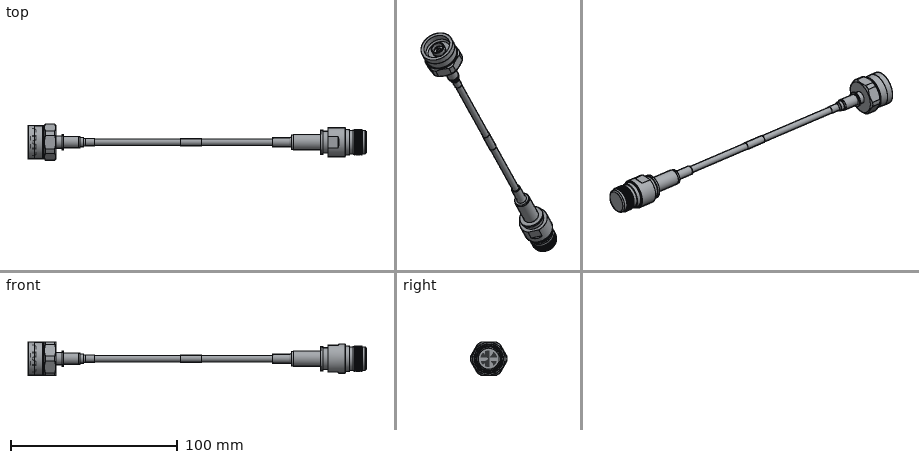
import cadquery as cq

OVERALL_LENGTH = 203.0

NUT_STEPS = [
    (20.0, 3.9),
    (19.9, 8.7),
    (19.3, 9.1),
    (19.9, 9.5),
]
NUT_END = 16.8

HEX_START = NUT_STEPS[-1][1]
HEX_ACROSS_FLATS = 20.3
HEX_CORNER_RADIUS = 11.0
HEX_TURN = 30
HEX_CHAMFER_LENGTH = 0.91
HEX_CHAMFER_HEIGHT = 1.2

SOCKET_MOUTH_RADIUS = 8.1
SOCKET_RADIUS = 7.1
SOCKET_MOUTH_DEPTH = 3.9
SOCKET_DEPTH = 4.9
TUBE_RADIUS = 4.0
TUBE_BORE_RADIUS = 3.5
TUBE_RECESS = 1.5
PIN_SHANK_RADIUS = 1.6
PIN_SHOULDER = 4.0
PIN_RADIUS = 1.0
PIN_TIP_RADIUS = 0.5
PIN_TIP_LENGTH = 0.6
PIN_RECESS = 2.6

PLUG_TAIL_STEPS = [
    (7.5, 20.3),
    (9.1, 21.1),
    (7.0, 30.2),
    (6.7, 31.2),
    (5.7, 33.3),
    (4.7, 34.5),
    (4.5, 40.0),
]
PLUG_END = PLUG_TAIL_STEPS[-1][1]

CABLE_RADIUS = 2.0
SLEEVE_RADIUS = 2.2
SLEEVE_START = 91.3
SLEEVE_END = 104.0

BOOT_START = 146.7
BOOT_NECK_RADIUS = 5.5 / 2
BOOT_FLARE_START = 156.6
BOOT_FLARE_RADIUS = 3.0
BOOT_BARREL_START = 157.9
BOOT_RIM_RADIUS = 4.5
BOOT_RIM_END = 159.0
BOOT_BARREL_RADIUS = 4.7
BOOT_END = 175.5

JACK_REAR_STEPS = [
    (14.6, 176.7),
    (13.2, 179.8),
]

COLLAR_START = JACK_REAR_STEPS[-1][1]
COLLAR_END = 190.3
COLLAR_RADIUS = 17.7 / 2
COLLAR_CHAMFER = 0.5
FLAT_END = 185.9
FLAT_SPACING = 16.2
FLAT_RAMP_SLOPE = 1.0

JACK_FRONT_STEPS = [
    (15.5, 192.8),
    (14.2, 194.8),
]

THREAD_START = 195.6
THREAD_RADIUS = 7.7
THREAD_ROOT_RADIUS = JACK_FRONT_STEPS[-1][0] / 2
THREAD_PITCH = 1.0
THREAD_COUNT = 5
NOSE_CHAMFER = 0.8


def turned(outline):
    """Revolve (X, radius) points, closed along the axis, into a solid about the X axis."""
    first_x = outline[0][0]
    last_x = outline[-1][0]
    points = [(first_x, 0), *[(x, -radius) for x, radius in outline], (last_x, 0)]
    return cq.Workplane("XY").polyline(points).close().revolve(360, (0, 0, 0), (1, 0, 0))


def stepped(start, steps):
    """Outline points of consecutive cylinders given as (diameter, X of the far end)."""
    points = []
    for diameter, end in steps:
        radius = diameter / 2
        points += [(start, radius), (end, radius)]
        start = end
    return points


def cylinder(radius, start, end):
    """Solid cylinder about the X axis between two X positions."""
    return turned([(start, radius), (end, radius)])


def make_hex():
    """Hexagonal prism trimmed by a chamfered round envelope."""
    prism = (
        cq.Workplane("YZ")
        .workplane(offset=HEX_START)
        .transformed(rotate=(0, 0, HEX_TURN))
        .polygon(6, HEX_ACROSS_FLATS, circumscribed=True)
        .extrude(NUT_END - HEX_START)
    )
    chamfer_radius = HEX_CORNER_RADIUS - HEX_CHAMFER_HEIGHT
    envelope = turned([
        (HEX_START, chamfer_radius),
        (HEX_START + HEX_CHAMFER_LENGTH, HEX_CORNER_RADIUS),
        (NUT_END - HEX_CHAMFER_LENGTH, HEX_CORNER_RADIUS),
        (NUT_END, chamfer_radius),
    ])
    return prism.intersect(envelope)


def make_plug():
    """Coupling nut, socket, tube, contact pin and tail as one solid."""
    nut = turned(stepped(0, NUT_STEPS)).union(make_hex())
    socket = turned([
        (0, SOCKET_MOUTH_RADIUS),
        (SOCKET_MOUTH_DEPTH, SOCKET_MOUTH_RADIUS),
        (SOCKET_DEPTH, SOCKET_RADIUS),
    ])
    tube = cylinder(TUBE_RADIUS, TUBE_RECESS, SOCKET_DEPTH)
    tube_bore = cylinder(TUBE_BORE_RADIUS, TUBE_RECESS, SOCKET_DEPTH)
    pin = turned([
        (PIN_RECESS, PIN_TIP_RADIUS),
        (PIN_RECESS + PIN_TIP_LENGTH, PIN_RADIUS),
        (PIN_SHOULDER, PIN_RADIUS),
        (PIN_SHOULDER, PIN_SHANK_RADIUS),
        (SOCKET_DEPTH, PIN_SHANK_RADIUS),
    ])
    tail = turned(stepped(NUT_END, PLUG_TAIL_STEPS))
    return nut.cut(socket).union(tube.cut(tube_bore)).union(pin).union(tail)


def make_cable():
    return cylinder(CABLE_RADIUS, PLUG_END, BOOT_START)


def make_sleeve():
    return cylinder(SLEEVE_RADIUS, SLEEVE_START, SLEEVE_END).cut(make_cable())


def make_boot():
    return turned([
        (BOOT_START, BOOT_NECK_RADIUS),
        (BOOT_FLARE_START, BOOT_NECK_RADIUS),
        (BOOT_BARREL_START, BOOT_FLARE_RADIUS),
        (BOOT_BARREL_START, BOOT_RIM_RADIUS),
        (BOOT_RIM_END, BOOT_RIM_RADIUS),
        (BOOT_RIM_END, BOOT_BARREL_RADIUS),
        (BOOT_END, BOOT_BARREL_RADIUS),
    ])


def thread_outline():
    """Outline points of the threads: quarter pitches of rise, crest, fall and root."""
    quarter = THREAD_PITCH / 4
    points = []
    for i in range(THREAD_COUNT):
        start = THREAD_START + i * THREAD_PITCH
        points += [
            (start + quarter, THREAD_RADIUS),
            (start + 2 * quarter, THREAD_RADIUS),
            (start + 3 * quarter, THREAD_ROOT_RADIUS),
            (start + 4 * quarter, THREAD_ROOT_RADIUS),
        ]
    return points


def make_flat_cutter():
    """Cutter for the upper wrench flat: a long prism across Y with a ramped far end."""
    flat_height = FLAT_SPACING / 2
    ramp_height = COLLAR_RADIUS - flat_height
    ramp_end = FLAT_END + ramp_height / FLAT_RAMP_SLOPE
    profile = [
        (COLLAR_START, flat_height),
        (FLAT_END, flat_height),
        (ramp_end, COLLAR_RADIUS),
        (COLLAR_START, COLLAR_RADIUS),
    ]
    return cq.Workplane("XZ").polyline(profile).close().extrude(COLLAR_RADIUS, both=True)


def make_jack():
    """Flange, flatted collar and threaded end as one solid."""
    body = turned([
        *stepped(BOOT_END, JACK_REAR_STEPS),
        (COLLAR_START, COLLAR_RADIUS),
        (COLLAR_END - COLLAR_CHAMFER, COLLAR_RADIUS),
        (COLLAR_END, COLLAR_RADIUS - COLLAR_CHAMFER),
        *stepped(COLLAR_END, JACK_FRONT_STEPS),
        *thread_outline(),
        (OVERALL_LENGTH - NOSE_CHAMFER, THREAD_ROOT_RADIUS),
        (OVERALL_LENGTH, THREAD_ROOT_RADIUS - NOSE_CHAMFER),
    ])
    upper_cutter = make_flat_cutter()
    lower_cutter = upper_cutter.mirror("XY")
    return body.cut(upper_cutter).cut(lower_cutter)


plug = make_plug()
cable = make_cable()
sleeve = make_sleeve()
boot = make_boot()
jack = make_jack()

result = cq.Compound.makeCompound([
    plug.val(),
    cable.val(),
    sleeve.val(),
    boot.val(),
    jack.val(),
])